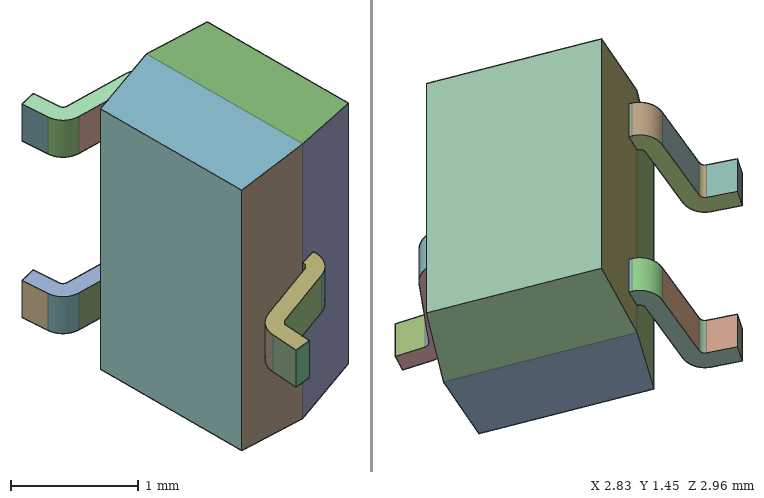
import cadquery as cq
import math

body_width = 1.6
body_height = 2.96
half_depth = 0.65
taper_inset = 0.077

span = 2.83
foot_bottom = -0.8
thickness = 0.15
lead_width = 0.4
inner_radius = 0.05
foot_length = 0.252
foot_tilt = math.radians(4)
shank_lean = math.radians(11)
pair_offset = 0.95


def make_half(direction):
    """Half of the body, tapering from the parting plane toward -Y or +Y."""
    parting = cq.Workplane("XZ").rect(body_width, body_height)
    return (
        parting.workplane(offset=-direction * half_depth)
        .rect(body_width - 2 * taper_inset, body_height - 2 * taper_inset)
        .loft(ruled=True)
    )


def make_lead(height):
    """Lead on the -X side, centred at the given height and trimmed to the body wall."""
    radius = inner_radius + thickness / 2

    tip_x = -span / 2 + thickness / 2 * math.sin(foot_tilt)
    tip_y = foot_bottom + thickness / 2 * math.cos(foot_tilt)
    heel_x = tip_x + foot_length * math.cos(foot_tilt)
    heel_y = tip_y + foot_length * math.sin(foot_tilt)

    lower_x = heel_x - radius * math.sin(foot_tilt)
    lower_y = heel_y + radius * math.cos(foot_tilt)
    upper_y = thickness / 2 - radius

    reach_x = radius * math.cos(shank_lean)
    reach_y = radius * math.sin(shank_lean)
    shank_bottom = (lower_x + reach_x, lower_y - reach_y)
    shank_top_y = upper_y + reach_y
    shank_run = (shank_top_y - shank_bottom[1]) * math.tan(shank_lean)
    shank_top = (shank_bottom[0] + shank_run, shank_top_y)
    upper_x = shank_top[0] + reach_x

    lower_angle = (foot_tilt - math.pi / 2 - shank_lean) / 2
    lower_mid = (lower_x + radius * math.cos(lower_angle), lower_y + radius * math.sin(lower_angle))
    upper_angle = (math.pi / 2 + math.pi - shank_lean) / 2
    upper_mid = (upper_x + radius * math.cos(upper_angle), upper_y + radius * math.sin(upper_angle))

    centreline = (
        cq.Workplane("XY", origin=(0, 0, height))
        .moveTo(tip_x, tip_y)
        .lineTo(heel_x, heel_y)
        .threePointArc(lower_mid, shank_bottom)
        .lineTo(*shank_top)
        .threePointArc(upper_mid, (upper_x, thickness / 2))
        .lineTo(-body_width / 2 + taper_inset, thickness / 2)
    )
    tip_plane = cq.Plane(
        origin=(tip_x, tip_y, height),
        xDir=(0, 0, 1),
        normal=(math.cos(foot_tilt), math.sin(foot_tilt), 0),
    )
    strip = cq.Workplane(tip_plane).rect(lead_width, thickness).sweep(centreline)
    return strip.cut(body)


body = make_half(-1).union(make_half(1))
paired_leads = [make_lead(height) for height in (-pair_offset, pair_offset)]
single_lead = make_lead(0).mirror("YZ")
leads = [*paired_leads, single_lead]

result = cq.Compound.makeCompound([body.val(), *[lead.val() for lead in leads]])